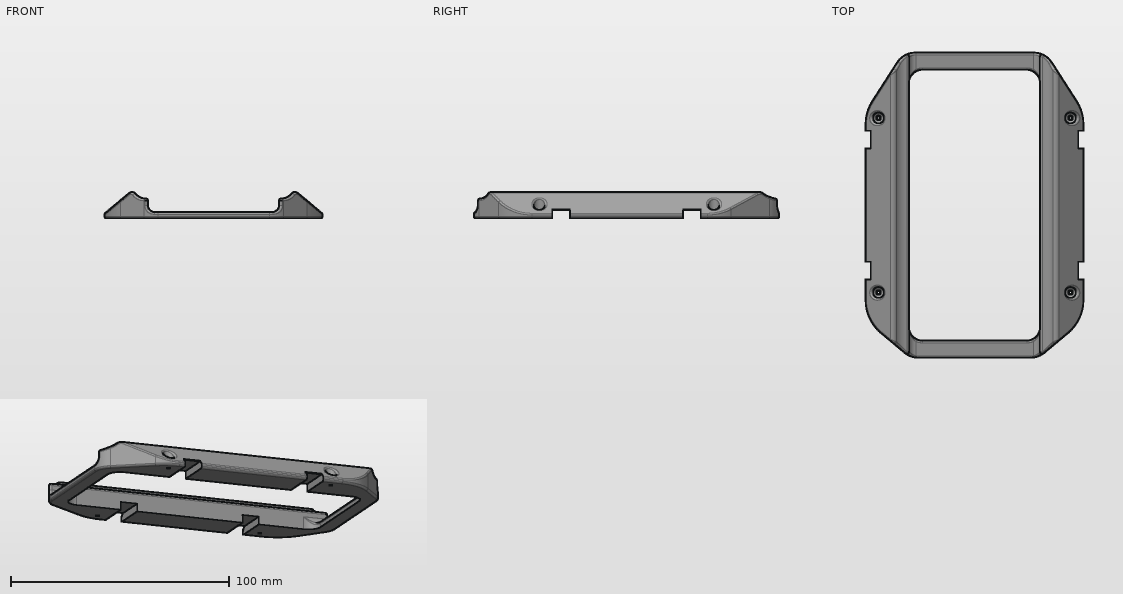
import math

import cadquery as cq

width = 100.0
length = 140.0
height = 12.18
half_width = width / 2
half_length = length / 2

bar_height = 3.0
lip_height = 9.2
slope_angle = math.radians(40)
peak_radius = 2.0
groove_radius = 6.0
cove_radius = 3.0

opening_width = 60.0
opening_length = 124.0
opening_corner_radius = 6.0
half_opening = opening_width / 2
half_opening_length = opening_length / 2

back_taper_side_y = 42.8
back_taper_end_x = 32.5
front_taper_side_y = 52.7
front_taper_end_x = 29.2
side_corner_radius = 20.0
end_corner_radius = 10.0

edge_radius = 1.0
lip_radius = 1.1

notch_y = 30.0
notch_width = 8.0
notch_height = 3.7
notch_relief_depth = 2.4

screw_x = 44.0
screw_y = 40.0
screw_diameter = 1.5
head_diameter = 5.0
cone_tip_diameter = 2.2
head_floor = 2.0
head_edge_radius = 1.0

pick_margin = 0.1
touch_tolerance = 1e-4
sample_fractions = (0.1, 0.5, 0.9)


def section():
    """Closed XZ section: a rail on each side joined by the low bar."""
    groove_x = half_opening + lip_radius
    groove_z = lip_height + groove_radius
    peak_z = height - peak_radius
    centre_distance = peak_radius + groove_radius
    groove_angle = math.asin((groove_z - peak_z) / centre_distance)
    peak_x = groove_x + centre_distance * math.cos(groove_angle)
    groove_top_x = peak_x - peak_radius * math.cos(groove_angle)
    groove_top_z = peak_z + peak_radius * math.sin(groove_angle)
    groove_mid_angle = (groove_angle + math.pi / 2) / 2
    groove_mid_x = groove_x + groove_radius * math.cos(groove_mid_angle)
    groove_mid_z = groove_z - groove_radius * math.sin(groove_mid_angle)

    slope_top_x = peak_x + peak_radius * math.sin(slope_angle)
    slope_top_z = peak_z + peak_radius * math.cos(slope_angle)
    slope_foot_z = slope_top_z - (half_width - slope_top_x) * math.tan(slope_angle)

    lip_z = lip_height - lip_radius
    lip_mid = lip_radius * math.sqrt(0.5)
    cove_x = half_opening - cove_radius
    cove_z = bar_height + cove_radius
    cove_mid = cove_radius * math.sqrt(0.5)

    right_half = (
        cq.Workplane("XZ")
        .moveTo(0, 0)
        .lineTo(half_width, 0)
        .lineTo(half_width, slope_foot_z)
        .lineTo(slope_top_x, slope_top_z)
        .threePointArc((peak_x, height), (groove_top_x, groove_top_z))
        .threePointArc((groove_mid_x, groove_mid_z), (groove_x, lip_height))
        .threePointArc((groove_x - lip_mid, lip_z + lip_mid), (half_opening, lip_z))
        .lineTo(half_opening, cove_z)
        .threePointArc((cove_x + cove_mid, cove_z - cove_mid), (cove_x, bar_height))
        .lineTo(0, bar_height)
    )
    return right_half.mirrorY()


def outline_prism():
    """Plan outline, tapered at both ends, with rounded corners."""
    corners = [
        (half_width, back_taper_side_y),
        (back_taper_end_x, half_length),
        (-back_taper_end_x, half_length),
        (-half_width, back_taper_side_y),
        (-half_width, -front_taper_side_y),
        (-front_taper_end_x, -half_length),
        (front_taper_end_x, -half_length),
        (half_width, -front_taper_side_y),
    ]
    prism = cq.Workplane("XY").polyline(corners).close().extrude(height)
    side_corners = cq.selectors.BoxSelector(
        (-half_width - pick_margin, -front_taper_side_y - pick_margin, 0),
        (half_width + pick_margin, back_taper_side_y + pick_margin, height),
    )
    prism = prism.edges("|Z").edges(side_corners).fillet(side_corner_radius)
    for end in (">Y", "<Y"):
        prism = prism.faces(end).edges("|Z").fillet(end_corner_radius)
    return prism


def round_rim(solid, prism):
    """Round the top edges where the solid meets the side walls of the prism."""
    walls = cq.Compound.makeCompound(prism.faces("not |Z").vals())

    def is_rim(edge):
        is_bottom = edge.BoundingBox().zmax < pick_margin
        is_vertical = edge.geomType() == "LINE" and math.isclose(abs(edge.tangentAt(0.5).z), 1)
        points = [edge.positionAt(fraction) for fraction in sample_fractions]
        samples = [cq.Vertex.makeVertex(*point.toTuple()) for point in points]
        on_walls = all(walls.distance(sample) < touch_tolerance for sample in samples)
        return on_walls and not is_bottom and not is_vertical

    return solid.edges().filter(is_rim).fillet(edge_radius)


def opening_prism():
    """Central opening with rounded corners."""
    block = cq.Workplane("XY").box(opening_width, opening_length, height, centered=(True, True, False))
    return block.edges("|Z").fillet(opening_corner_radius)


def round_bar_edges(solid):
    """Round the top inner edges of both bars and the opening corners they run into."""
    bar_tops = cq.selectors.BoxSelector(
        (-half_opening, -half_opening_length - pick_margin, bar_height - pick_margin),
        (half_opening, half_opening_length + pick_margin, bar_height + pick_margin),
    )
    return solid.edges("|X").edges(bar_tops).fillet(edge_radius)


def head_pocket(x, y):
    """Round pocket for a screw head, with a 45 degree conical floor."""
    radius = head_diameter / 2
    tip_radius = cone_tip_diameter / 2
    cone_bottom = head_floor - (radius - tip_radius)
    half_section = [
        (0, cone_bottom),
        (tip_radius, cone_bottom),
        (radius, head_floor),
        (radius, height),
        (0, height),
    ]
    pocket = cq.Workplane("XZ").polyline(half_section).close().revolve(360, (0, 0), (0, 1))
    return pocket.translate((x, y, 0))


def cut_screw_hole(solid, x, y):
    """Cut a head pocket with a rounded mouth on the slope, then the screw hole below it."""
    solid = solid.cut(head_pocket(x, y))
    around_pocket = cq.selectors.BoxSelector(
        (x - head_diameter, y - head_diameter, head_floor + pick_margin),
        (x + head_diameter, y + head_diameter, height),
    )
    mouth = solid.edges("%ELLIPSE").edges(around_pocket)
    solid = mouth.fillet(head_edge_radius)
    shank = cq.Workplane("XY").center(x, y).circle(screw_diameter / 2).extrude(height)
    return solid.cut(shank)


def notch(y):
    """Channel under both rails, opened upward through their thin outer edges."""
    channel = cq.Workplane("XY").box(width, notch_width, notch_height, centered=(True, True, False))
    for side in (-1, 1):
        relief = cq.Workplane("XY").box(
            notch_relief_depth, notch_width, height, centered=(True, True, False)
        )
        relief_x = side * (half_width - notch_relief_depth / 2)
        channel = channel.union(relief.translate((relief_x, 0, 0)))
    return channel.translate((0, y, 0))


outline = outline_prism()
body = section().extrude(half_length, both=True).intersect(outline)
body = round_rim(body, outline)
body = body.faces("<Z").edges().fillet(edge_radius)
body = body.cut(opening_prism())
body = round_bar_edges(body)
for x in (-screw_x, screw_x):
    for y in (-screw_y, screw_y):
        body = cut_screw_hole(body, x, y)
for y in (-notch_y, notch_y):
    body = body.cut(notch(y))
result = body